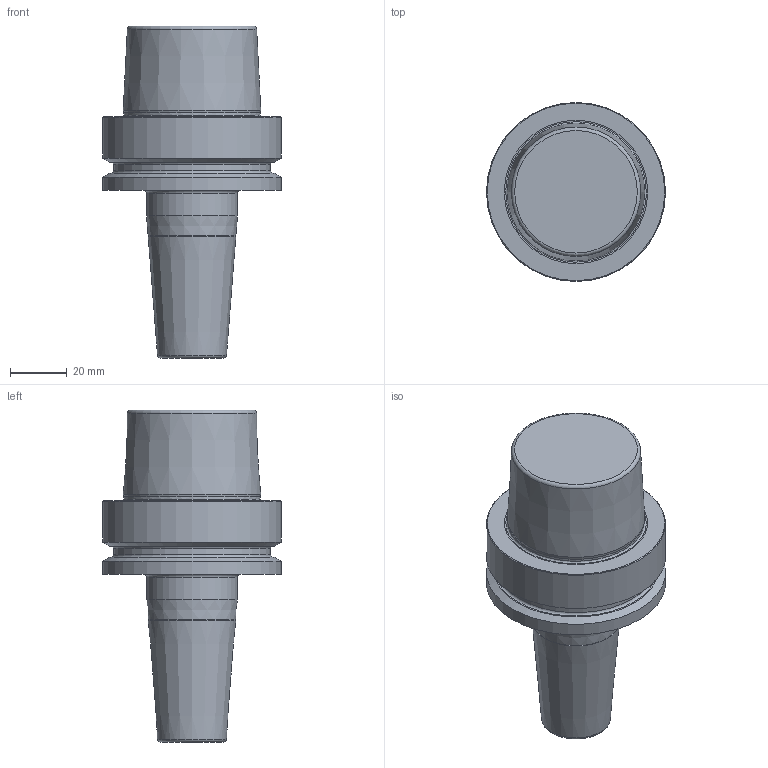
import cadquery as cq
import math


tolerance = 0.01

shank_height = 31.9
shank_slope = 1 / 20
gauge_radius = 24.0
gauge_height = 6.3
shank_tip_fillet = 1.2
taper_end_height = 2.3
neck_radius = 24.05
neck_top_height = 1.35

undercut_radius = 25.25
undercut_angle = 8.0
undercut_fillet = 0.6

flange_radius = 31.5
flange_thickness = 26.0
flange_edge_chamfer = 0.25
groove_center_z = -18.0
groove_floor_radius = 27.65
groove_floor_width = 3.95
groove_mouth_width = 6.8
groove_flank_angle = 30.0
groove_fillet = 0.85

nose_radius = 16.0
nose_fillet = 1.0
nose_cylinder_end_z = -35.0
nose_angle = 4.5
nose_shoulder_end_z = -42.0

tip_gap = 0.1
tip_top_z = nose_shoulder_end_z - tip_gap
tip_end_z = -85.0
tip_fillet = 1.0


def taper_radius(z):
    """Radius of the taper shank at height z."""
    return gauge_radius + (gauge_height - z) * shank_slope


def nose_cone_radius(z):
    """Radius of the nose cone at height z."""
    return nose_radius - (nose_cylinder_end_z - z) * math.tan(math.radians(nose_angle))


def revolve_profile(points):
    """Solid of revolution about Z from (radius, z) points that start and end on the axis."""
    return cq.Workplane("XZ").polyline(points).close().revolve(360, (0, 0, 0), (0, 1, 0))


def circle_at(radius, z):
    """Selector for the circular edges at height z that are no larger than the given radius."""
    reach = radius + tolerance
    return cq.selectors.BoxSelector(
        (-reach, -reach, z - tolerance), (reach, reach, z + tolerance), boundingbox=True
    )


def make_holder():
    """Taper shank, flange and the upper part of the chuck nose."""
    undercut_depth = (undercut_radius - neck_radius) * math.tan(math.radians(undercut_angle))
    undercut_floor_z = -undercut_depth
    floor_half = groove_floor_width / 2
    mouth_half = groove_mouth_width / 2
    flank_depth = (mouth_half - floor_half) / math.tan(math.radians(groove_flank_angle))
    shoulder_radius = flange_radius - flank_depth
    body = revolve_profile([
        (0, shank_height),
        (taper_radius(shank_height), shank_height),
        (taper_radius(taper_end_height), taper_end_height),
        (neck_radius, neck_top_height),
        (neck_radius, undercut_floor_z),
        (undercut_radius, 0),
        (flange_radius, 0),
        (flange_radius, groove_center_z + mouth_half),
        (shoulder_radius, groove_center_z + floor_half),
        (groove_floor_radius, groove_center_z + floor_half),
        (groove_floor_radius, groove_center_z - floor_half),
        (shoulder_radius, groove_center_z - floor_half),
        (flange_radius, groove_center_z - mouth_half),
        (flange_radius, -flange_thickness),
        (nose_radius, -flange_thickness),
        (nose_radius, nose_cylinder_end_z),
        (nose_cone_radius(nose_shoulder_end_z), nose_shoulder_end_z),
        (0, nose_shoulder_end_z),
    ])
    body = body.edges(circle_at(taper_radius(shank_height), shank_height)).fillet(shank_tip_fillet)
    body = body.edges(circle_at(neck_radius, undercut_floor_z)).fillet(undercut_fillet)
    outermost = cq.selectors.RadiusNthSelector(-1)
    body = body.edges(circle_at(flange_radius, 0)).edges(outermost).chamfer(flange_edge_chamfer)
    for side in (1, -1):
        corner = circle_at(groove_floor_radius, groove_center_z + side * floor_half)
        body = body.edges(corner).fillet(groove_fillet)
    return body.edges(circle_at(nose_radius, -flange_thickness)).fillet(nose_fillet)


def make_tip():
    """Conical end of the chuck nose, carrying on the cone of the holder."""
    end_radius = nose_cone_radius(tip_end_z)
    tip = revolve_profile([
        (0, tip_top_z),
        (nose_cone_radius(tip_top_z), tip_top_z),
        (end_radius, tip_end_z),
        (0, tip_end_z),
    ])
    return tip.edges(circle_at(end_radius, tip_end_z)).fillet(tip_fillet)


holder = make_holder()
tip = make_tip()
result = cq.Compound.makeCompound([holder.val(), tip.val()])